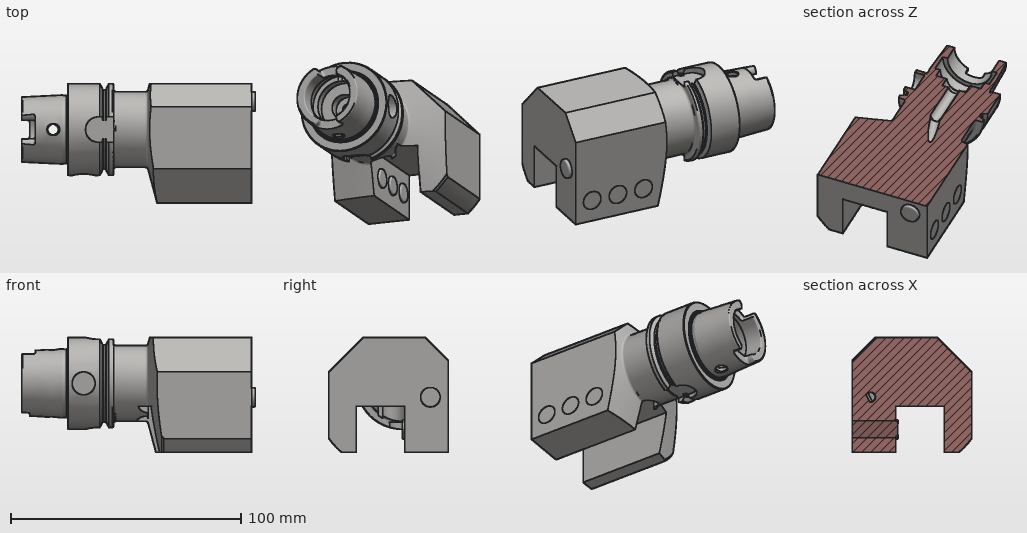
import cadquery as cq
import math


shank_length = 20.0
shank_base_radius = 15.05
shank_base_x = -2.3
shank_taper = 1 / 9.98
shank_rim_round = 0.5

relief_radius = 29.71 / 2
relief_rim_radius = 16.1
relief_depth = 0.6
relief_start_x = -1.4
relief_end_x = -0.6

bore_radius = 21 / 2
bore_lip_x = -12.1
clamp_radius = 25.5 / 2
clamp_end_x = -4.2
bore_floor_radius = 19.5 / 2
bore_floor_x = -3.2
socket_radius = 11 / 2
socket_mouth_radius = 12 / 2
socket_depth = 8.0
coolant_radius = 5 / 2
coolant_end_x = 25.0
drill_tip_angle = 59.0
feed_radius = 4.2 / 2

drive_slot_width = 8.05
drive_slot_top_depth = 6.0
drive_slot_bottom_depth = 3.5
drive_slot_floor_round = 1.0
drive_slot_corner_round = 2.6
drive_slot_corner_z = 12.8

access_radius = 4.6 / 2
access_chamfer = 0.5
access_x = -6.3

flange_radius = 40 / 2
flange_length = 20.0
flange_face_chamfer = 0.3
flange_rim_round = 0.6
groove_center_x = 16.0
groove_mouth_width = 4.0
groove_floor_width = 1.8
groove_floor_radius = 17.35
groove_side_angle = 30.0
groove_floor_round = 0.4

key_slot_width = 11.0
key_slot_floor_z = 16.88
key_slot_start_x = 7.8
chip_radius = 10 / 2
chip_depth = 4.6
chip_x = 7.0

neck_radius = 33 / 2
neck_round = 1.0

head_end_x = 80.0
head_left_y = -32.0
head_right_y = 20.0
head_top_z = 20.0
head_bottom_z = -30.0
head_left_chamfer = 15.0
head_right_chamfer = 10.0
swing_radius = 40.0
swing_chamfer_radial = 0.7
swing_chamfer_axial = 1.0
cone_start_x = 34.75
cone_angle = 15.0

tool_slot_left_y = -20.0
tool_slot_right_y = 1.0
tool_slot_top_z = -10.0
tool_slot_start_x = 35.0
tool_relief_radius = 4.75

plug_radius = 8.5 / 2
plug_tip_round = 0.75
screw_count = 3
screw_first_x = 47.0
screw_pitch = 12.5
screw_z = -20.0
screw_tip_y = 0.0
nozzle_y = 12.2
nozzle_z = -6.05
nozzle_length = 10.0
nozzle_reach = 1.7


def revolve_about_x(points):
    """Solid of revolution about X from (x, radius) points."""
    return cq.Workplane("XY").polyline(points).close().revolve(360, (0, 0, 0), (1, 0, 0))


def plug(length):
    """Cylinder along +Z whose far end is rounded."""
    return cq.Workplane("XY").circle(plug_radius).extrude(length).faces(">Z").edges().fillet(plug_tip_round)


def drive_slot(depth):
    """Cutter for the upper drive slot, with side walls that flare outwards at the top."""
    wall_y = drive_slot_width / 2
    flare_y = wall_y + drive_slot_corner_round
    flare_z = drive_slot_corner_z - drive_slot_corner_round
    slot = (
        cq.Workplane("YZ", origin=(-shank_length, 0, 0))
        .moveTo(-wall_y, 0)
        .lineTo(-wall_y, flare_z)
        .radiusArc((-flare_y, drive_slot_corner_z), -drive_slot_corner_round)
        .lineTo(-shank_base_radius, drive_slot_corner_z)
        .lineTo(-shank_base_radius, flange_radius)
        .lineTo(shank_base_radius, flange_radius)
        .lineTo(shank_base_radius, drive_slot_corner_z)
        .lineTo(flare_y, drive_slot_corner_z)
        .radiusArc((wall_y, flare_z), -drive_slot_corner_round)
        .lineTo(wall_y, 0)
        .close()
        .extrude(depth)
    )
    wall_zone = cq.selectors.BoxSelector(
        (-shank_length + depth * 0.9, -shank_base_radius * 0.9, drive_slot_corner_z * 0.1),
        (-shank_length + depth * 1.1, shank_base_radius * 0.9, drive_slot_corner_z * 1.05),
    )
    return slot.edges(wall_zone).fillet(drive_slot_floor_round)


def make_shank():
    """Tapered shank with its bore, drive slots and a rounded rim."""
    tip_radius = shank_base_radius - shank_taper / 2 * (shank_length + shank_base_x)
    shank = revolve_about_x([
        (-shank_length, 0),
        (-shank_length, tip_radius),
        (shank_base_x, shank_base_radius),
        (relief_start_x, relief_radius),
        (relief_end_x, relief_radius),
        (0, shank_base_radius),
        (relief_depth, shank_base_radius),
        (relief_depth, 0),
    ])
    shank = shank.cut(
        cq.Workplane("YZ", origin=(-shank_length, 0, 0)).circle(bore_radius).extrude(shank_length)
    )
    top_slot = drive_slot(drive_slot_top_depth)
    bottom_slot = drive_slot(drive_slot_bottom_depth).mirror("XY")
    shank = shank.cut(top_slot).cut(bottom_slot)
    return shank.faces("<X").edges().fillet(shank_rim_round)


def make_flange_and_neck():
    """Flange with its gripper groove and face relief, and the neck behind it."""
    slope = math.tan(math.radians(groove_side_angle))
    mouth_start = groove_center_x - groove_mouth_width / 2
    mouth_end = groove_center_x + groove_mouth_width / 2
    floor_start = groove_center_x - groove_floor_width / 2
    floor_end = groove_center_x + groove_floor_width / 2
    side_bottom = flange_radius - (floor_start - mouth_start) / slope
    return (
        cq.Workplane("XY")
        .moveTo(relief_depth, 0)
        .lineTo(relief_depth, relief_rim_radius - relief_depth)
        .lineTo(0, relief_rim_radius)
        .lineTo(0, flange_radius - flange_face_chamfer)
        .lineTo(flange_face_chamfer, flange_radius)
        .lineTo(mouth_start, flange_radius)
        .lineTo(floor_start, side_bottom)
        .lineTo(floor_start, groove_floor_radius + groove_floor_round)
        .radiusArc((floor_start + groove_floor_round, groove_floor_radius), -groove_floor_round)
        .lineTo(floor_end - groove_floor_round, groove_floor_radius)
        .radiusArc((floor_end, groove_floor_radius + groove_floor_round), -groove_floor_round)
        .lineTo(floor_end, side_bottom)
        .lineTo(mouth_end, flange_radius)
        .lineTo(flange_length - flange_rim_round, flange_radius)
        .radiusArc((flange_length, flange_radius - flange_rim_round), flange_rim_round)
        .lineTo(flange_length, neck_radius + neck_round)
        .radiusArc((flange_length + neck_round, neck_radius), -neck_round)
        .lineTo(tool_slot_start_x + neck_round, neck_radius)
        .lineTo(tool_slot_start_x + neck_round, 0)
        .close()
        .revolve(360, (0, 0, 0), (1, 0, 0))
    )


def make_head():
    """Chamfered block trimmed to a turned shape: cone in front, swing cylinder around."""
    block = (
        cq.Workplane("YZ")
        .moveTo(head_left_y, head_bottom_z)
        .lineTo(head_right_y, head_bottom_z)
        .lineTo(head_right_y, head_top_z - head_right_chamfer)
        .lineTo(head_right_y - head_right_chamfer, head_top_z)
        .lineTo(head_left_y + head_left_chamfer, head_top_z)
        .lineTo(head_left_y, head_top_z - head_left_chamfer)
        .close()
        .extrude(head_end_x)
    )
    slope = math.tan(math.radians(cone_angle))
    chamfer_radius = swing_radius - swing_chamfer_radial
    chamfer_x = cone_start_x + slope * (chamfer_radius - neck_radius)
    root = neck_round * math.tan(math.radians(90 - cone_angle) / 2)
    root_radius = neck_radius + root * math.cos(math.radians(cone_angle))
    root_x = cone_start_x + root * math.sin(math.radians(cone_angle))
    turned = (
        cq.Workplane("XY")
        .moveTo(cone_start_x - root, 0)
        .lineTo(cone_start_x - root, neck_radius)
        .radiusArc((root_x, root_radius), -neck_round)
        .lineTo(chamfer_x, chamfer_radius)
        .lineTo(chamfer_x + swing_chamfer_axial, swing_radius)
        .lineTo(head_end_x, swing_radius)
        .lineTo(head_end_x, 0)
        .close()
        .revolve(360, (0, 0, 0), (1, 0, 0))
    )
    return block.intersect(turned)


def bore_cavity():
    """Clamping bore with its undercut, floor step, threaded socket and coolant hole."""
    socket_end_x = bore_floor_x + socket_depth
    tip_length = coolant_radius / math.tan(math.radians(drill_tip_angle))
    return revolve_about_x([
        (bore_lip_x, 0),
        (bore_lip_x, bore_radius),
        (bore_lip_x, clamp_radius),
        (clamp_end_x, clamp_radius),
        (clamp_end_x, bore_floor_radius),
        (bore_floor_x, bore_floor_radius),
        (bore_floor_x, socket_mouth_radius),
        (bore_floor_x + socket_mouth_radius - socket_radius, socket_radius),
        (socket_end_x, socket_radius),
        (socket_end_x, coolant_radius),
        (coolant_end_x, coolant_radius),
        (coolant_end_x + tip_length, 0),
    ])


def coolant_feed():
    """Oblique hole from the tip of the coolant hole to the seat of the nozzle."""
    start = cq.Vector(coolant_end_x, 0, 0)
    path = cq.Vector(head_end_x - nozzle_length, nozzle_y, nozzle_z) - start
    return cq.Workplane(cq.Solid.makeCylinder(feed_radius, path.Length, start, path))


def access_hole():
    """Cross hole through both shank walls, countersunk at the outside."""
    shank_radius = shank_base_radius + shank_taper / 2 * (access_x - shank_base_x)
    top_z = shank_radius + access_chamfer
    mouth_radius = access_radius + 2 * access_chamfer
    hole = (
        cq.Workplane("XY", origin=(access_x, 0, -top_z))
        .circle(access_radius)
        .extrude(2 * top_z)
    )
    for direction in (1, -1):
        countersink = cq.Solid.makeCone(
            mouth_radius,
            access_radius,
            2 * access_chamfer,
            cq.Vector(access_x, 0, direction * top_z),
            cq.Vector(0, 0, -direction),
        )
        hole = hole.union(cq.Workplane(countersink))
    return hole


def key_slots():
    """Round-ended slots across the flange rim, at the top and at the bottom."""
    end_radius = key_slot_width / 2
    end_x = key_slot_start_x + end_radius
    slot = (
        cq.Workplane("XY", origin=(0, 0, key_slot_floor_z))
        .moveTo(flange_length + neck_round, end_radius)
        .lineTo(end_x, end_radius)
        .threePointArc((key_slot_start_x, 0), (end_x, -end_radius))
        .lineTo(flange_length + neck_round, -end_radius)
        .close()
        .extrude(flange_radius)
    )
    return slot.union(slot.mirror("XY"))


def chip_hole():
    """Blind round hole in the flange rim."""
    return (
        cq.Workplane("XZ", origin=(chip_x, -flange_radius + chip_depth, 0))
        .circle(chip_radius)
        .extrude(chip_depth)
    )


def tool_slot():
    """Square tool slot open at the bottom, with two round reliefs running into the neck."""
    width = tool_slot_right_y - tool_slot_left_y
    depth = tool_slot_top_z - head_bottom_z
    slot = (
        cq.Workplane("XY")
        .box(head_end_x - tool_slot_start_x, width, depth, centered=False)
        .translate((tool_slot_start_x, tool_slot_left_y, head_bottom_z))
    )
    relief_centers = [
        (tool_slot_start_x, tool_slot_left_y + tool_relief_radius),
        (tool_slot_start_x, tool_slot_right_y - tool_relief_radius),
    ]
    reliefs = (
        cq.Workplane("XY", origin=(0, 0, head_bottom_z))
        .pushPoints(relief_centers)
        .circle(tool_relief_radius)
        .extrude(depth)
    )
    return slot.union(reliefs)


def make_screws():
    """Row of clamp screws along X, pointing into the tool slot along -Y."""
    screw = plug(head_right_y - screw_tip_y).rotate((0, 0, 0), (1, 0, 0), 90)
    return [
        screw.translate((screw_first_x + i * screw_pitch, head_right_y, screw_z))
        for i in range(screw_count)
    ]


def make_nozzle():
    """Coolant nozzle in the rear face, pointing along +X."""
    nozzle = plug(nozzle_length + nozzle_reach).rotate((0, 0, 0), (0, 1, 0), 90)
    return nozzle.translate((head_end_x - nozzle_length, nozzle_y, nozzle_z))


def make_housing(inserts):
    """Shank, flange, neck and head as one solid, with holes that fit the inserts."""
    housing = make_flange_and_neck().union(make_head()).union(make_shank())
    cavities = [bore_cavity(), coolant_feed(), access_hole(), key_slots(), chip_hole(), tool_slot()]
    for cutter in [*cavities, *inserts]:
        housing = housing.cut(cutter)
    return housing


screws = make_screws()
nozzle = make_nozzle()
housing = make_housing([*screws, nozzle])

result = cq.Compound.makeCompound([
    housing.val(),
    nozzle.val(),
    *[screw.val() for screw in screws],
])